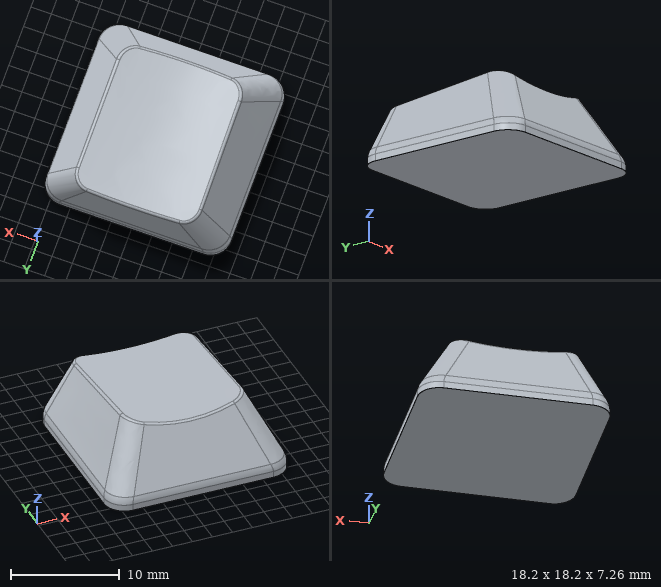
import cadquery as cq
import math

base_size = 18.16
base_corner_radius = 2.05

blend_start = 0.67
blend_end = 1.38
blend_middle = (blend_start + blend_end) / 2

side_slope = math.tan(math.radians(27.5))
front_slope = math.tan(math.radians(29.2))
back_slope = math.tan(math.radians(5.0))

top_tilt = 5.9
blank_height = 7.26
blank_width = 11.7
blank_corner_radius = 1.73

rim_half_width = 6.0
rim_height = 6.88
dish_depth_front = 1.2
dish_depth_back = 0.5
rim_fillet = 0.27


def rounded_rectangle(width, depth, corner_radius):
    return cq.Sketch().rect(width, depth).vertices().fillet(corner_radius)


def blend_section(height):
    """Outline in the blend, where the inset grows as a parabola tangent to both walls."""
    run = (height - blend_start) ** 2 / (2 * (blend_end - blend_start))
    front_inset = run * front_slope
    back_inset = run * back_slope
    width = base_size - 2 * run * side_slope
    depth = base_size - front_inset - back_inset
    outline = rounded_rectangle(width, depth, base_corner_radius)
    return outline.moved(cq.Location(cq.Vector(0, (front_inset - back_inset) / 2, height)))


def top_section():
    """Outline of the undished top, where its tilted plane meets the front and back walls."""
    drop = math.tan(math.radians(top_tilt))
    rise = blank_height - blend_middle
    front_y = (front_slope * rise - base_size / 2) / (1 + front_slope * drop)
    back_y = (base_size / 2 - back_slope * rise) / (1 - back_slope * drop)
    middle_y = (front_y + back_y) / 2
    tilted_depth = (back_y - front_y) / math.cos(math.radians(top_tilt))
    center = cq.Vector(0, middle_y, blank_height - drop * middle_y)
    outline = rounded_rectangle(blank_width, tilted_depth, blank_corner_radius)
    return outline.moved(cq.Location(center, cq.Vector(1, 0, 0), -top_tilt))


def make_blank():
    base = (
        cq.Workplane("XY")
        .placeSketch(rounded_rectangle(base_size, base_size, base_corner_radius))
        .extrude(blend_start)
    )
    blend = (
        cq.Workplane("XY")
        .placeSketch(blend_section(blend_start), blend_section(blend_middle), blend_section(blend_end))
        .loft()
    )
    walls = cq.Workplane("XY").placeSketch(blend_section(blend_end), top_section()).loft(ruled=True)
    return base.union(blend).union(walls)


def dish_section(y, depth):
    """Wire of the space above the dish in the plane at y, closed well above the keycap."""
    radius = (rim_half_width**2 + depth**2) / (2 * depth)
    floor_height = rim_height - y * math.tan(math.radians(top_tilt)) - depth
    half_width = base_size / 2
    end_height = floor_height + radius - math.sqrt(radius**2 - half_width**2)
    outline = (
        cq.Workplane("XZ", origin=(0, y, 0))
        .moveTo(-half_width, end_height)
        .threePointArc((0, floor_height), (half_width, end_height))
        .lineTo(half_width, base_size)
        .lineTo(-half_width, base_size)
        .close()
    )
    return outline.val()


def make_dish_cutter():
    front = dish_section(-base_size / 2, dish_depth_front)
    back = dish_section(base_size / 2, dish_depth_back)
    return cq.Workplane(cq.Solid.makeLoft([front, back], True))


dished = make_blank().cut(make_dish_cutter())
dish_floor_middle = (0, 0, rim_height - (dish_depth_front + dish_depth_back) / 2)
dish_face = dished.faces(cq.selectors.NearestToPointSelector(dish_floor_middle))
result = dish_face.edges().fillet(rim_fillet)